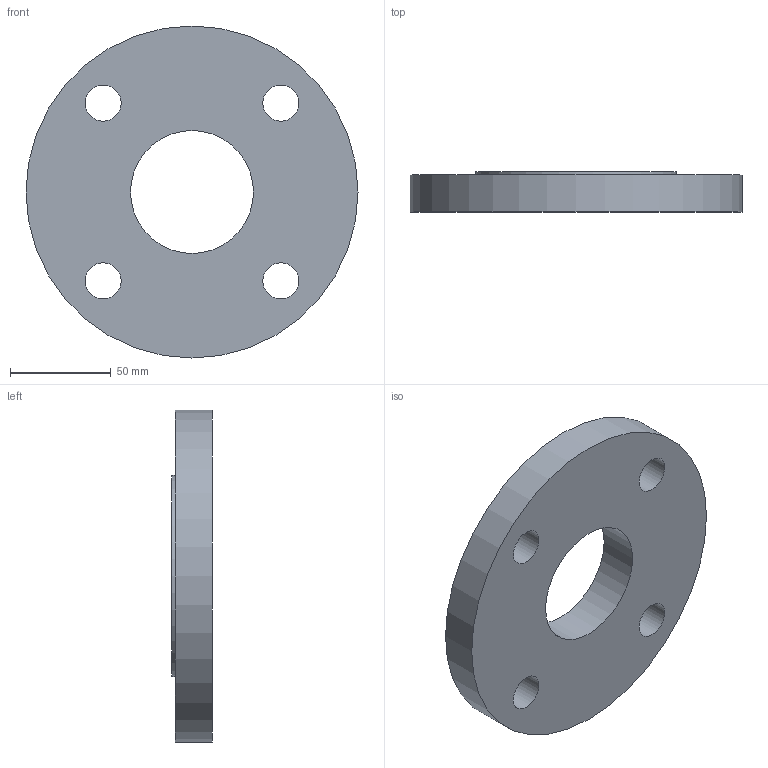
import cadquery as cq

flange_diameter = 165.0
total_thickness = 20.0
raised_face_diameter = 100.0
raised_face_height = 1.6
bore_diameter = 61.1
bolt_circle_diameter = 125.0
bolt_hole_diameter = 18.0
bolt_hole_count = 4
first_bolt_angle = 45.0

disc_thickness = total_thickness - raised_face_height


def cylinder_along_y(diameter, start_y, length):
    """Solid cylinder on the flange axis, running from start_y towards +Y."""
    return (
        cq.Workplane("XZ", origin=(0, start_y, 0))
        .circle(diameter / 2)
        .extrude(-length)
    )


def bolt_holes():
    """Cutters for the evenly spaced through holes on the bolt circle."""
    return (
        cq.Workplane("XZ")
        .polarArray(bolt_circle_diameter / 2, first_bolt_angle, 360, bolt_hole_count)
        .circle(bolt_hole_diameter / 2)
        .extrude(-total_thickness)
    )


disc = cylinder_along_y(flange_diameter, 0, disc_thickness)
raised_face = cylinder_along_y(raised_face_diameter, disc_thickness, raised_face_height)
bore = cylinder_along_y(bore_diameter, 0, total_thickness)

result = disc.union(raised_face).cut(bore).cut(bolt_holes())